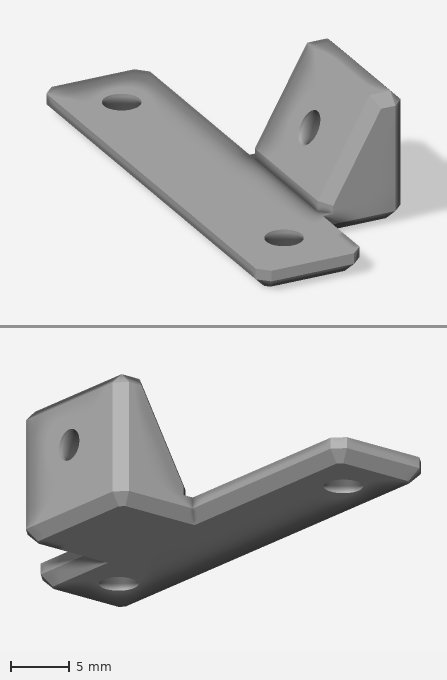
import cadquery as cq

plate_length = 42.0
plate_width = 10.0
plate_thickness = 2.0
chamfer = 1.0

block_width = 14.0
block_center_x = 27.0
overall_depth = 18.0
overall_height = 12.0
block_top_depth = 3.0
front_step_height = 1.0

plate_hole_diameter = 3.4
plate_hole_inset = 5.5
block_hole_diameter = 2.8
block_hole_height = 7.0

block_left = block_center_x - block_width / 2
tab_depth = overall_depth - plate_width


def make_base():
    """Plate and rear tab, with cut outer corners and a chamfered underside."""
    plate = cq.Workplane("XY").box(plate_length, plate_width, plate_thickness, centered=False)
    plate = plate.edges("|Z").chamfer(chamfer)
    tab = (
        cq.Workplane("XY")
        .box(block_width, tab_depth, plate_thickness, centered=False)
        .edges("|Z and >Y")
        .chamfer(chamfer)
        .translate((block_left, plate_width, 0))
    )
    return plate.union(tab).faces("<Z").edges().chamfer(chamfer)


def make_block():
    """Block with a sloped front, chamfered around both ends and along its rear top edge."""
    profile = [
        (plate_width, plate_thickness),
        (plate_width, plate_thickness + front_step_height),
        (overall_depth - block_top_depth, overall_height),
        (overall_depth, overall_height),
        (overall_depth, plate_thickness),
    ]
    block = (
        cq.Workplane("YZ", origin=(block_left, 0, 0))
        .polyline(profile)
        .close()
        .extrude(block_width)
    )
    end_edges = block.faces("<X or >X").edges("not <Z")
    rear_top_edge = block.edges("|X and >Y and >Z")
    return end_edges.add(rear_top_edge).chamfer(chamfer)


def make_plate_holes():
    """Two vertical through holes, one near each end of the plate."""
    hole_xs = (plate_hole_inset, plate_length - plate_hole_inset)
    return (
        cq.Workplane("XY")
        .pushPoints([(x, plate_width / 2) for x in hole_xs])
        .circle(plate_hole_diameter / 2)
        .extrude(plate_thickness)
    )


def make_block_hole():
    """Horizontal hole along Y through the block."""
    return (
        cq.Workplane("XZ", origin=(block_center_x, overall_depth, block_hole_height))
        .circle(block_hole_diameter / 2)
        .extrude(overall_depth)
    )


result = make_base().union(make_block()).cut(make_plate_holes()).cut(make_block_hole())